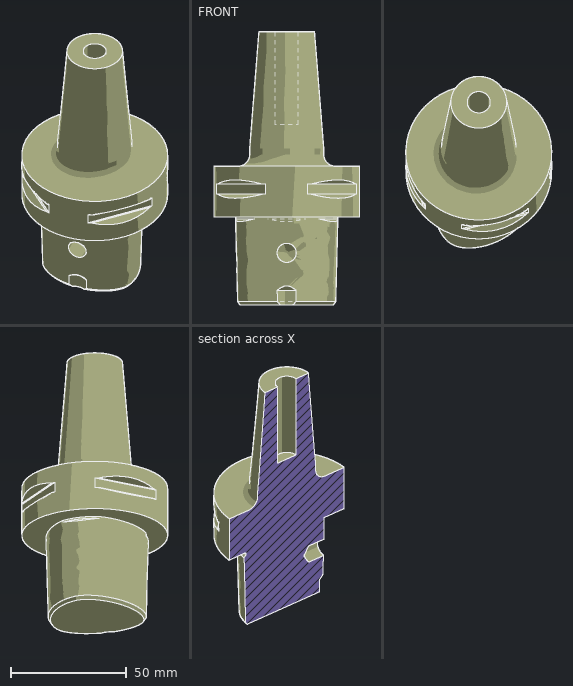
import cadquery as cq
import math


FLANGE_RADIUS = 31.5
FLANGE_HEIGHT = 22.0
SLOT_FLOOR_DISTANCE = 27.7
SLOT_FLOOR_WIDTH = 4.4
SLOT_WALL_DEPTH = 0.7
SLOT_FLARE_ANGLE = 30
SLOT_DROP = 9.9
SLOT_ANGLES = (45, 135, 225, 315)

TOTAL_HEIGHT = 118
NOSE_TIP_RADIUS = 12.0
NOSE_BASE_RADIUS = 16.0
NOSE_FILLET = 5.0
NOSE_COLLAR_HEIGHT = 2.5
BORE_RADIUS = 5.0
BORE_DEPTH = 40.1

SHANK_LENGTH = 38.0
SHANK_DIAMETER = 44.1
LOBE_HEIGHT = 1.4
STRAIGHT_LENGTH = 2.8
TAPER = 1 / 20
CHAMFER_HEIGHT = 1.5
CHAMFER_DEPTH = 1.1
OUTLINE_POINTS = 72

RELIEF_RADIUS = 22.3
RELIEF_STRAIGHT = 0.8

HOLE_DROP = 15.5
HOLE_RADIUS = 4.1
HOLE_TIP_ANGLE = 118
HOLE_DEPTH = 10.0
NOTCH_HEIGHT = 6.4
NOTCH_RADIUS = 6.0
NOTCH_TIP_ANGLE = 90
NOTCH_AXIS_OFFSET = 3.4

NOSE_TOP = TOTAL_HEIGHT - SHANK_LENGTH
FLAT_DISTANCE = SHANK_DIAMETER / 2 - LOBE_HEIGHT


def lobed_outline(diameter, z):
    """Closed rounded triangle of constant width, with one lobe on +Y."""

    def point(index):
        angle = 2 * math.pi * index / OUTLINE_POINTS
        support = diameter / 2 - LOBE_HEIGHT * math.sin(3 * angle)
        slope = -3 * LOBE_HEIGHT * math.cos(3 * angle)
        x = support * math.cos(angle) - slope * math.sin(angle)
        y = support * math.sin(angle) + slope * math.cos(angle)
        return cq.Vector(x, y, z)

    points = [point(index) for index in range(OUTLINE_POINTS)]
    return cq.Wire.assembleEdges([cq.Edge.makeSpline(points, periodic=True)])


def make_shank():
    chamfer_start = SHANK_LENGTH - CHAMFER_HEIGHT
    small_diameter = SHANK_DIAMETER - TAPER * (chamfer_start - STRAIGHT_LENGTH)
    top = lobed_outline(SHANK_DIAMETER, 0)
    taper_top = lobed_outline(SHANK_DIAMETER, -STRAIGHT_LENGTH)
    taper_end = lobed_outline(small_diameter, -chamfer_start)
    end = lobed_outline(small_diameter - 2 * CHAMFER_DEPTH, -SHANK_LENGTH)
    return cq.Workplane(cq.Solid.makeLoft([top, taper_top, taper_end, end], True))


def make_relief():
    """Ring that turns the lobe tips down to a cylinder running out in a 45 degree cone."""
    cone_end = RELIEF_STRAIGHT + FLANGE_RADIUS - RELIEF_RADIUS
    return (
        cq.Workplane("XZ")
        .moveTo(RELIEF_RADIUS, 0)
        .lineTo(RELIEF_RADIUS, -RELIEF_STRAIGHT)
        .lineTo(FLANGE_RADIUS, -cone_end)
        .lineTo(FLANGE_RADIUS, 0)
        .close()
        .revolve(360, (0, 0), (0, 1))
    )


def make_head():
    """Flange, fillet, collar and tapered nose turned in one profile."""
    collar_bottom = FLANGE_HEIGHT + NOSE_FILLET
    fillet_foot_radius = NOSE_BASE_RADIUS + NOSE_FILLET
    fillet_mid = (
        fillet_foot_radius - NOSE_FILLET * math.cos(math.radians(45)),
        collar_bottom - NOSE_FILLET * math.sin(math.radians(45)),
    )
    return (
        cq.Workplane("XZ")
        .lineTo(FLANGE_RADIUS, 0)
        .lineTo(FLANGE_RADIUS, FLANGE_HEIGHT)
        .lineTo(fillet_foot_radius, FLANGE_HEIGHT)
        .threePointArc(fillet_mid, (NOSE_BASE_RADIUS, collar_bottom))
        .lineTo(NOSE_BASE_RADIUS, collar_bottom + NOSE_COLLAR_HEIGHT)
        .lineTo(NOSE_TIP_RADIUS, NOSE_TOP)
        .lineTo(0, NOSE_TOP)
        .close()
        .revolve(360, (0, 0), (0, 1))
    )


def make_slot(angle):
    """Gripper slot with a flat floor and flared sides, facing outward at the given angle."""
    slot_z = FLANGE_HEIGHT - SLOT_DROP
    half_floor = SLOT_FLOOR_WIDTH / 2
    flare_start = SLOT_FLOOR_DISTANCE + SLOT_WALL_DEPTH
    flare_rise = (FLANGE_RADIUS - flare_start) * math.tan(math.radians(SLOT_FLARE_ANGLE))
    half_mouth = half_floor + flare_rise
    return (
        cq.Workplane("XZ", origin=(0, FLANGE_RADIUS, slot_z))
        .moveTo(SLOT_FLOOR_DISTANCE, -half_floor)
        .lineTo(flare_start, -half_floor)
        .lineTo(FLANGE_RADIUS, -half_mouth)
        .lineTo(FLANGE_RADIUS, half_mouth)
        .lineTo(flare_start, half_floor)
        .lineTo(SLOT_FLOOR_DISTANCE, half_floor)
        .close()
        .extrude(2 * FLANGE_RADIUS)
        .rotate((0, 0, 0), (0, 0, 1), angle)
    )


def make_drill(radius, tip_angle, start, direction, depth):
    """Drilled volume: a cylinder of the given depth ending in a conical tip."""
    tip_height = radius / math.tan(math.radians(tip_angle / 2))
    start = cq.Vector(*start)
    direction = cq.Vector(*direction)
    body = cq.Solid.makeCylinder(radius, depth, start, direction)
    tip = cq.Solid.makeCone(radius, 0, tip_height, start + direction * depth, direction)
    return cq.Workplane(body.fuse(tip))


def make_side_hole():
    start = (0, -SHANK_DIAMETER / 2, -HOLE_DROP)
    return make_drill(HOLE_RADIUS, HOLE_TIP_ANGLE, start, (0, 1, 0), HOLE_DEPTH)


def make_notch():
    start = (0, -FLAT_DISTANCE - NOTCH_AXIS_OFFSET, -SHANK_LENGTH)
    return make_drill(NOTCH_RADIUS, NOTCH_TIP_ANGLE, start, (0, 0, 1), NOTCH_HEIGHT)


def make_bore():
    bore_floor = NOSE_TOP - BORE_DEPTH
    return cq.Workplane("XY", origin=(0, 0, bore_floor)).circle(BORE_RADIUS).extrude(BORE_DEPTH)


shank = make_shank().cut(make_relief()).cut(make_side_hole()).cut(make_notch())
head = make_head().cut(make_bore())
for slot_angle in SLOT_ANGLES:
    head = head.cut(make_slot(slot_angle))

result = head.union(shank)